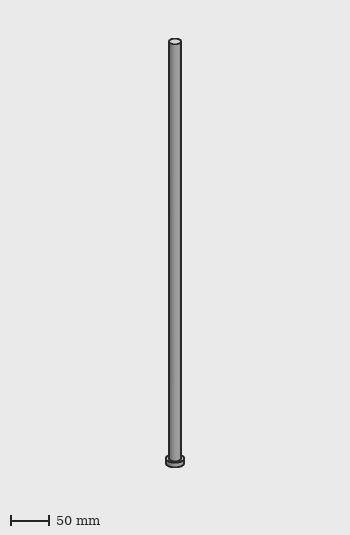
import cadquery as cq

total_length = 630.0
head_diameter = 24.0
head_height = 7.0
shaft_diameter = 16.0
shaft_length = total_length - head_height

head = cq.Workplane("XY").circle(head_diameter / 2).extrude(head_height)

shaft = (
    cq.Workplane("XY")
    .workplane(offset=head_height)
    .circle(shaft_diameter / 2)
    .extrude(shaft_length)
)

result = head.union(shaft)